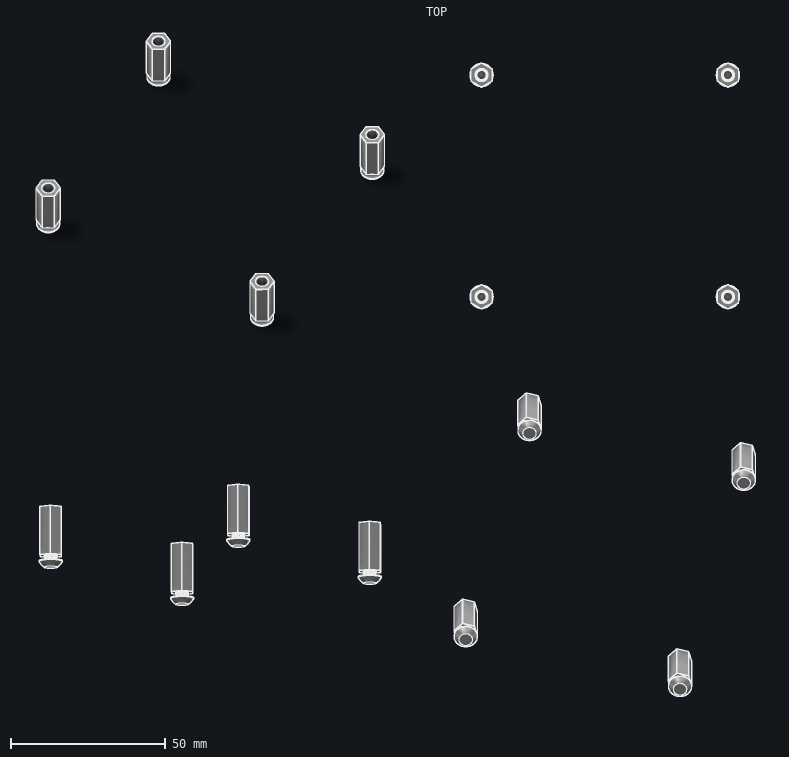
import cadquery as cq
import math

PITCH_X = 80.0
PITCH_Y = 72.0

STANDOFF_HEIGHT = 16.0
HEX_ACROSS_FLATS = 7.0
BORE_DIAMETER = 4.0
EDGE_CHAMFER = 0.13

HEAD_DIAMETER = 7.6
HEAD_HEIGHT = 2.2
HEAD_END_DIAMETER = 4.4
HEAD_RIM = 0.35
DOME_BULGE = 0.13
CLAMP_GAP = 1.6

SHANK_LENGTH = 8.0
TIP_DIAMETER = 3.0
THREAD_PITCH = 0.7
THREAD_DEPTH = 0.35
CREST_SHARE = 1 / 8
ROOT_SHARE = 1 / 4
CURVE_POINTS = 8
CREST_RADIUS = BORE_DIAMETER / 2
ROOT_RADIUS = CREST_RADIUS - THREAD_DEPTH

HEAD_TOP = HEAD_HEIGHT
STANDOFF_BOTTOM = HEAD_TOP + CLAMP_GAP


def make_standoff():
    """Hexagonal pillar with a bore through its full height and broken edges."""
    return (
        cq.Workplane("XY")
        .workplane(offset=STANDOFF_BOTTOM)
        .polygon(6, HEX_ACROSS_FLATS, circumscribed=True)
        .extrude(STANDOFF_HEIGHT)
        .edges()
        .chamfer(EDGE_CHAMFER)
        .faces(">Z")
        .workplane()
        .hole(BORE_DIAMETER)
        .edges("%CIRCLE")
        .chamfer(EDGE_CHAMFER)
    )


def make_head():
    """Domed head turned about Z, with a flat end and a flat bearing face."""
    head_radius = HEAD_DIAMETER / 2
    return (
        cq.Workplane("XZ")
        .lineTo(HEAD_END_DIAMETER / 2, 0)
        .sagittaArc((head_radius, HEAD_TOP - HEAD_RIM), -DOME_BULGE)
        .lineTo(head_radius, HEAD_TOP)
        .lineTo(0, HEAD_TOP)
        .close()
        .revolve(360, (0, 0, 0), (0, 1, 0))
    )


def flank_point(share, side):
    """Point on a thread flank in cross-section: share 0 at the crest, 1 at the root.

    The crest lies on -X. The side is 1 for the flank on +Y and -1 for its mirror image. The radius
    falls evenly with the angle, so the twisted flank is straight along the axis.
    """
    crest_angle = math.pi * CREST_SHARE
    root_angle = math.pi * (1 - ROOT_SHARE)
    angle = crest_angle + share * (root_angle - crest_angle)
    radius = CREST_RADIUS - share * THREAD_DEPTH
    return (-radius * math.cos(angle), side * radius * math.sin(angle))


def make_shank():
    """Threaded shank on the bearing face, its tip tapered at 45 degrees."""
    thread = (
        cq.Workplane("XY", origin=(0, 0, HEAD_TOP))
        .moveTo(*flank_point(0, -1))
        .threePointArc((-CREST_RADIUS, 0), flank_point(0, 1))
        .parametricCurve(lambda share: flank_point(share, 1), N=CURVE_POINTS, makeWire=False)
        .moveTo(*flank_point(1, 1))
        .threePointArc((ROOT_RADIUS, 0), flank_point(1, -1))
        .parametricCurve(lambda share: flank_point(1 - share, -1), N=CURVE_POINTS, makeWire=False)
        .wire()
        .twistExtrude(SHANK_LENGTH, 360 * SHANK_LENGTH / THREAD_PITCH)
    )
    tip_radius = TIP_DIAMETER / 2
    cone = cq.Solid.makeCone(tip_radius + SHANK_LENGTH, tip_radius, SHANK_LENGTH, cq.Vector(0, 0, HEAD_TOP))
    return thread.intersect(cq.Workplane(cone))


def make_screw():
    """Head and threaded shank as one solid."""
    return make_head().union(make_shank())


def at_corners(body):
    """One separate copy of a body at each corner of the mounting pattern."""
    corners = cq.Workplane("XY").rect(PITCH_X, PITCH_Y, forConstruction=True).vertices().vals()
    return [body.moved(cq.Location(corner.Center())) for corner in corners]


standoffs = at_corners(make_standoff().solids().val())
screws = at_corners(make_screw().solids().val())

result = cq.Compound.makeCompound([*standoffs, *screws])